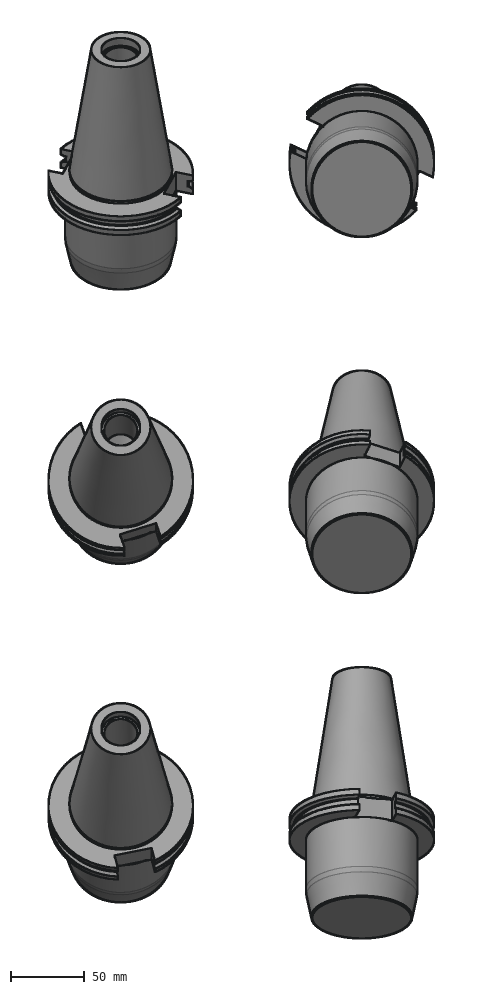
import cadquery as cq
import math

gauge_height = 77.0
taper_length = 101.6
total_height = gauge_height + taper_length

gauge_radius = 69.85 / 2
taper_ratio = 7 / 24
taper_top_radius = gauge_radius - taper_length * taper_ratio / 2

neck_radius = 69.4 / 2
taper_overrun = 1.0
taper_bottom_height = gauge_height - taper_overrun
taper_bottom_radius = gauge_radius + taper_overrun * taper_ratio / 2

flange_radius = 98.41 / 2
flange_top = gauge_height - 3.175
flange_bottom = gauge_height - 19.05

groove_middle = (flange_top + flange_bottom) / 2
groove_floor_radius = 45.5
groove_floor_width = 4.3
groove_flank_depth = 2.6
groove_flank_angle = 30.0
groove_flank_width = groove_flank_depth * math.tan(math.radians(groove_flank_angle))
groove_mouth_width = groove_floor_width + 2 * groove_flank_width

slot_width = 25.8
slot_distance_minus_x = 37.3
slot_distance_plus_x = 35.2

shank_radius = 76.0 / 2
nose_radius = 34.2
nose_corner_height = 19.0
nose_blend_radius = 20.0
nose_chamfer = 0.7

counterbore_radius = 26.38 / 2
counterbore_depth = 6.6
bore_radius = 22.5 / 2
bore_depth = 45.0
drill_tip_angle = 118.0


def make_body():
    """Revolve the taper, neck, flange and shank without the nose taper."""
    return (
        cq.Workplane("XZ")
        .moveTo(0, flange_bottom)
        .lineTo(flange_radius, flange_bottom)
        .lineTo(flange_radius, flange_top)
        .lineTo(neck_radius, flange_top)
        .lineTo(neck_radius, taper_bottom_height)
        .lineTo(taper_bottom_radius, taper_bottom_height)
        .lineTo(taper_top_radius, total_height)
        .lineTo(0, total_height)
        .close()
        .revolve(360, (0, 0, 0), (0, 1, 0))
    )


def make_groove():
    """Ring that cuts the groove in the flange rim."""
    half_floor = groove_floor_width / 2
    half_mouth = groove_mouth_width / 2
    flank_radius = flange_radius - groove_flank_depth
    return (
        cq.Workplane("XZ")
        .moveTo(groove_floor_radius, groove_middle - half_floor)
        .lineTo(flank_radius, groove_middle - half_floor)
        .lineTo(flange_radius, groove_middle - half_mouth)
        .lineTo(flange_radius, groove_middle + half_mouth)
        .lineTo(flank_radius, groove_middle + half_floor)
        .lineTo(groove_floor_radius, groove_middle + half_floor)
        .close()
        .revolve(360, (0, 0, 0), (0, 1, 0))
    )


def make_drive_slot(side, distance):
    """Block that cuts a drive slot through the flange; side is -1 or +1 along X."""
    slot_depth = flange_radius - distance
    return (
        cq.Workplane("XY", origin=(side * (distance + slot_depth / 2), 0, flange_bottom))
        .rect(slot_depth, slot_width)
        .extrude(flange_top - flange_bottom)
    )


def make_shank():
    """Cylinder with a tapered nose, a blend between the two and a bottom chamfer."""
    nose_angle = math.atan((shank_radius - nose_radius) / nose_corner_height)
    blend_reach = nose_blend_radius * math.tan(nose_angle / 2)
    blend_center_radius = shank_radius - nose_blend_radius
    blend_top = nose_corner_height + blend_reach

    def blend_point(angle):
        return (
            blend_center_radius + nose_blend_radius * math.cos(angle),
            blend_top - nose_blend_radius * math.sin(angle),
        )

    chamfer_top_radius = nose_radius + nose_chamfer * math.tan(nose_angle)
    return (
        cq.Workplane("XZ")
        .lineTo(chamfer_top_radius - nose_chamfer, 0)
        .lineTo(chamfer_top_radius, nose_chamfer)
        .lineTo(*blend_point(nose_angle))
        .threePointArc(blend_point(nose_angle / 2), (shank_radius, blend_top))
        .lineTo(shank_radius, flange_bottom)
        .lineTo(0, flange_bottom)
        .close()
        .revolve(360, (0, 0, 0), (0, 1, 0))
    )


def make_bore():
    """Counterbored blind hole with a conical drill tip."""
    tip_length = bore_radius / math.tan(math.radians(drill_tip_angle / 2))
    bore_bottom = total_height - bore_depth
    counterbore_bottom = total_height - counterbore_depth
    return (
        cq.Workplane("XZ")
        .moveTo(0, total_height)
        .lineTo(counterbore_radius, total_height)
        .lineTo(counterbore_radius, counterbore_bottom)
        .lineTo(bore_radius, counterbore_bottom)
        .lineTo(bore_radius, bore_bottom)
        .lineTo(0, bore_bottom - tip_length)
        .close()
        .revolve(360, (0, 0, 0), (0, 1, 0))
    )


result = make_body().cut(make_groove())
result = result.cut(make_drive_slot(-1, slot_distance_minus_x))
result = result.cut(make_drive_slot(1, slot_distance_plus_x))
result = result.union(make_shank()).cut(make_bore())